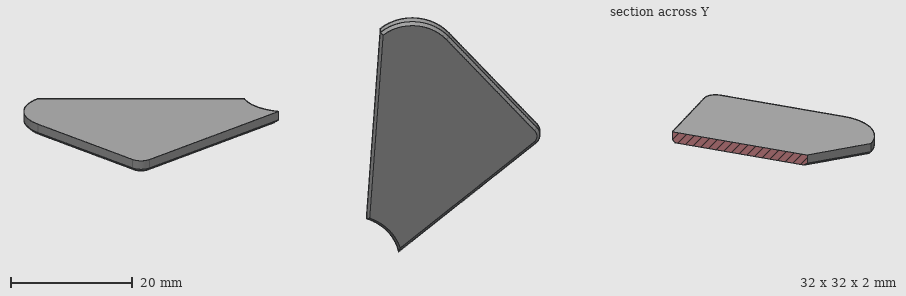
import cadquery as cq
import math

side = 32.0
thickness = 2.0
large_radius = 8.0
small_radius = 2.0
notch_radius = 8.0
notch_width = 8.0
chamfer_size = 0.5

notch_start_x = side - notch_width
notch_depth = notch_radius - math.sqrt(notch_radius**2 - (notch_width / 2) ** 2)


def corner_offset(radius):
    """Distance from the square corner to the middle of its arc, along each axis."""
    return radius * (1 - math.sqrt(0.5))


def make_plate():
    """Flat plate with a sloping long side, two round corners and a concave end."""
    large_offset = corner_offset(large_radius)
    small_offset = corner_offset(small_radius)
    return (
        cq.Workplane("XY")
        .moveTo(large_radius, 0)
        .lineTo(side - small_radius, 0)
        .threePointArc((side - small_offset, small_offset), (side, small_radius))
        .lineTo(side, side)
        .threePointArc((side - notch_width / 2, side - notch_depth), (notch_start_x, side))
        .lineTo(0, large_radius)
        .threePointArc((large_offset, large_offset), (large_radius, 0))
        .close()
        .extrude(thickness)
    )


def chamfer_bottom(plate):
    """Bevel the whole outline of the bottom face."""
    return plate.faces("<Z").edges().chamfer(chamfer_size)


result = chamfer_bottom(make_plate())